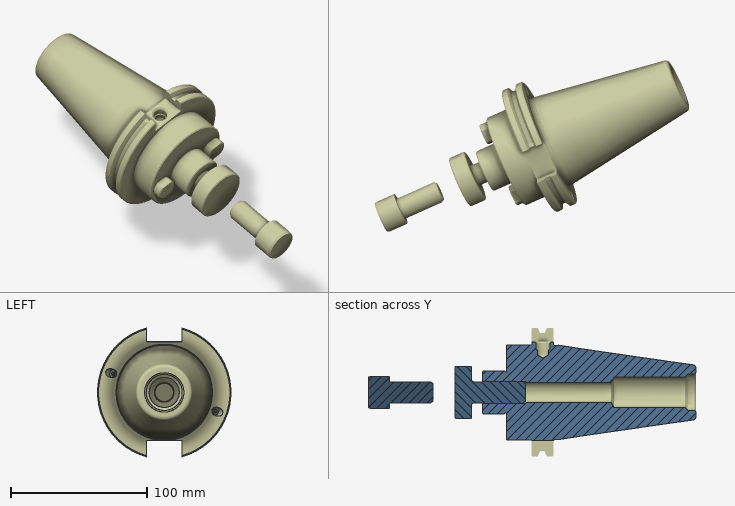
import cadquery as cq
import math

GAUGE_X = 101.2
FLANGE_START_X = 104.8
FLANGE_END_X = 121.0
FLANGE_MIDDLE_X = (FLANGE_START_X + FLANGE_END_X) / 2
HUB_END_X = 139.8
PILOT_END_X = 157.0
CLAMP_DISC_X = 164.8
CLAMP_END_X = 177.4
CAP_TIP_X = 193.3
CAP_HEAD_X = 225.0
CAP_END_X = 241.0

GAUGE_RADIUS = 35.0
TAPER_SLOPE = 7 / 48
TAPER_END_ROUND = 3.0
RELIEF_RADIUS = 34.7
FLANGE_ROOT_CHAMFER = 0.7
FLANGE_RADIUS = 98.0 / 2
FLANGE_CHAMFER = 0.7
HUB_RADIUS = 35.2
HUB_CHAMFER = 0.7
PILOT_RADIUS = 16.0
PILOT_CHAMFER = 0.7
PILOT_NECK_RADIUS = 15.2
PILOT_NECK_LENGTH = 0.5

GROOVE_FLOOR_RADIUS = 45.3
GROOVE_FLOOR_WIDTH = 3.4
GROOVE_FLANK_ANGLE = 25

SLOT_WIDTH = 25.8
TOP_SLOT_HEIGHT = 37.4
BOTTOM_SLOT_HEIGHT = 35.5

CHIP_HOLE_X = 112.5
CHIP_RIM_RADIUS = 12.3 / 2
CHIP_RADIUS = 10.1 / 2
CHIP_DEPTH = 6.0
CHIP_DRILL_RADIUS = 8.0 / 2
CHIP_DRILL_DEPTH = 9.6

BORE_RIM_RADIUS = 14.5
BORE_RADIUS = 13.3
BORE_DEPTH = 6.0
THREAD_RADIUS = 11.0
THREAD_END_X = 60.2
PASSAGE_RADIUS = 7.2
DRILL_HALF_ANGLE = 59

SCREW_RADIUS = 16.0 / 2
SCREW_TIP_RADIUS = 6.7
SCREW_TIP_LENGTH = 2.2

CLAMP_TIP_X = 125.3
CLAMP_FILLET = 1.2
CLAMP_DISC_RADIUS = 38.8 / 2
CLAMP_DISC_CHAMFER = 0.7

CAP_HEAD_RADIUS = 23.9 / 2
CAP_HEAD_CHAMFER = 1.7
CAP_HEAD_END_RADIUS = 11.3

KEY_RADIUS = 15.7 / 2
KEY_SEAT_RADIUS = 14.5 / 2
KEY_FLATS = 12.8
KEY_OFFSET = 25.5
KEY_PROJECTION = 6.5
KEY_SEAT_DEPTH = 9.6
KEY_NECK_LENGTH = 0.7
KEY_CHAMFER = 0.7

COOLANT_RADIUS = 6.3 / 2
COOLANT_PITCH_RADIUS = 41.7
COOLANT_ANGLE = 20
COOLANT_TILT = 37
COOLANT_DEPTH = 9.6
PLUG_RECESS = 3.0
PLUG_SOCKET = 3.1
PLUG_SOCKET_DEPTH = 2.5


def turned(outline):
    """Solid of revolution about X from (x, radius) points that start and end on the axis."""
    return cq.Workplane("XY").polyline(outline).close().revolve(360, (0, 0, 0), (1, 0, 0))


def taper_radius(x):
    return GAUGE_RADIUS - (GAUGE_X - x) * TAPER_SLOPE


def arbor_blank():
    taper = turned([(0, 0), (0, taper_radius(0)), (GAUGE_X, GAUGE_RADIUS), (GAUGE_X, 0)])
    taper = taper.faces("<X").edges().fillet(TAPER_END_ROUND)
    relief_step = GAUGE_RADIUS - RELIEF_RADIUS
    neck_step = PILOT_RADIUS - PILOT_NECK_RADIUS
    rest = turned([
        (GAUGE_X, 0),
        (GAUGE_X, GAUGE_RADIUS),
        (GAUGE_X + relief_step, RELIEF_RADIUS),
        (FLANGE_START_X - FLANGE_ROOT_CHAMFER, RELIEF_RADIUS),
        (FLANGE_START_X, RELIEF_RADIUS + FLANGE_ROOT_CHAMFER),
        (FLANGE_START_X, FLANGE_RADIUS - FLANGE_CHAMFER),
        (FLANGE_START_X + FLANGE_CHAMFER, FLANGE_RADIUS),
        (FLANGE_END_X - FLANGE_CHAMFER, FLANGE_RADIUS),
        (FLANGE_END_X, FLANGE_RADIUS - FLANGE_CHAMFER),
        (FLANGE_END_X, HUB_RADIUS),
        (HUB_END_X - HUB_CHAMFER, HUB_RADIUS),
        (HUB_END_X, HUB_RADIUS - HUB_CHAMFER),
        (HUB_END_X, PILOT_NECK_RADIUS),
        (HUB_END_X + PILOT_NECK_LENGTH, PILOT_NECK_RADIUS),
        (HUB_END_X + PILOT_NECK_LENGTH + neck_step, PILOT_RADIUS),
        (PILOT_END_X - PILOT_CHAMFER, PILOT_RADIUS),
        (PILOT_END_X, PILOT_RADIUS - PILOT_CHAMFER),
        (PILOT_END_X, 0),
    ])
    return taper.union(rest)


def gripper_groove():
    depth = FLANGE_RADIUS - GROOVE_FLOOR_RADIUS
    floor_half = GROOVE_FLOOR_WIDTH / 2
    top_half = floor_half + depth * math.tan(math.radians(GROOVE_FLANK_ANGLE))
    return (
        cq.Workplane("XY")
        .polyline([
            (FLANGE_MIDDLE_X - floor_half, GROOVE_FLOOR_RADIUS),
            (FLANGE_MIDDLE_X - top_half, FLANGE_RADIUS),
            (FLANGE_MIDDLE_X + top_half, FLANGE_RADIUS),
            (FLANGE_MIDDLE_X + floor_half, GROOVE_FLOOR_RADIUS),
        ])
        .close()
        .revolve(360, (0, 0, 0), (1, 0, 0))
    )


def drive_slot(height, side):
    """Notch across the flange; side is +1 for the top slot and -1 for the bottom one."""
    length = FLANGE_END_X - FLANGE_START_X
    depth = FLANGE_RADIUS - height
    centre = (FLANGE_MIDDLE_X, 0, side * (height + depth / 2))
    return cq.Workplane("XY").box(length, SLOT_WIDTH, depth).translate(centre)


def chip_hole():
    chamfer = CHIP_RIM_RADIUS - CHIP_RADIUS
    point = CHIP_DRILL_RADIUS / math.tan(math.radians(DRILL_HALF_ANGLE))
    return (
        cq.Workplane("XZ")
        .polyline([
            (0, 0),
            (CHIP_RIM_RADIUS, 0),
            (CHIP_RADIUS, -chamfer),
            (CHIP_RADIUS, -CHIP_DEPTH),
            (CHIP_DRILL_RADIUS, -CHIP_DEPTH),
            (CHIP_DRILL_RADIUS, -CHIP_DRILL_DEPTH),
            (0, -CHIP_DRILL_DEPTH - point),
        ])
        .close()
        .revolve(360, (0, 0, 0), (0, 1, 0))
        .translate((CHIP_HOLE_X, 0, TOP_SLOT_HEIGHT))
    )


def axial_bore():
    rim_chamfer = BORE_RIM_RADIUS - BORE_RADIUS
    shoulder = BORE_RADIUS - THREAD_RADIUS
    drill_point = (THREAD_RADIUS - PASSAGE_RADIUS) / math.tan(math.radians(DRILL_HALF_ANGLE))
    return turned([
        (0, 0),
        (0, BORE_RIM_RADIUS),
        (rim_chamfer, BORE_RADIUS),
        (BORE_DEPTH, BORE_RADIUS),
        (BORE_DEPTH + shoulder, THREAD_RADIUS),
        (THREAD_END_X, THREAD_RADIUS),
        (THREAD_END_X + drill_point, PASSAGE_RADIUS),
        (CLAMP_TIP_X, PASSAGE_RADIUS),
        (CLAMP_TIP_X, SCREW_RADIUS),
        (PILOT_END_X, SCREW_RADIUS),
        (PILOT_END_X, 0),
    ])


def key_disc(side, radius, start_x, length):
    """Cylinder along X on the centre of a drive key; side is the sign of its Y offset."""
    return (
        cq.Workplane("YZ", origin=(start_x, side * KEY_OFFSET, 0))
        .circle(radius)
        .extrude(length)
    )


def key_seat(side):
    return key_disc(side, KEY_SEAT_RADIUS, HUB_END_X - KEY_SEAT_DEPTH, KEY_SEAT_DEPTH)


def coolant_plane(side):
    """Plane on the flange face, its normal running down the slanted hole."""
    around = math.radians(COOLANT_ANGLE)
    tilt = math.radians(COOLANT_TILT)
    radial_y = side * math.cos(around)
    radial_z = side * math.sin(around)
    origin = (FLANGE_START_X, COOLANT_PITCH_RADIUS * radial_y, COOLANT_PITCH_RADIUS * radial_z)
    normal = (math.cos(tilt), -math.sin(tilt) * radial_y, -math.sin(tilt) * radial_z)
    return cq.Plane(origin=origin, xDir=(0, -radial_z, radial_y), normal=normal)


def coolant_hole(side):
    lead = 2 * COOLANT_RADIUS
    return (
        cq.Workplane(coolant_plane(side))
        .workplane(offset=-lead)
        .circle(COOLANT_RADIUS)
        .extrude(lead + COOLANT_DEPTH)
    )


def coolant_plug(side):
    seat = cq.Workplane(coolant_plane(side)).workplane(offset=PLUG_RECESS)
    plug = seat.circle(COOLANT_RADIUS).extrude(COOLANT_DEPTH - PLUG_RECESS)
    socket = seat.polygon(6, PLUG_SOCKET).extrude(PLUG_SOCKET_DEPTH)
    return plug.cut(socket)


def make_arbor():
    arbor = arbor_blank().cut(gripper_groove())
    arbor = arbor.cut(drive_slot(TOP_SLOT_HEIGHT, 1)).cut(drive_slot(BOTTOM_SLOT_HEIGHT, -1))
    arbor = arbor.cut(chip_hole()).cut(axial_bore())
    for side in (1, -1):
        arbor = arbor.cut(key_seat(side))
        arbor = arbor.cut(coolant_hole(side))
    return arbor


def make_drive_key(side):
    neck = key_disc(side, KEY_SEAT_RADIUS, HUB_END_X, KEY_NECK_LENGTH)
    head = key_disc(side, KEY_RADIUS, HUB_END_X + KEY_NECK_LENGTH, KEY_PROJECTION - KEY_NECK_LENGTH)
    head = head.faces(">X").edges().chamfer(KEY_CHAMFER)
    bar = (
        cq.Workplane("YZ", origin=(HUB_END_X, side * KEY_OFFSET, 0))
        .rect(2 * KEY_RADIUS, KEY_FLATS)
        .extrude(KEY_PROJECTION)
    )
    return neck.union(head).intersect(bar).union(key_seat(side))


def make_clamping_screw():
    screw = turned([
        (CLAMP_TIP_X, 0),
        (CLAMP_TIP_X, SCREW_TIP_RADIUS),
        (CLAMP_TIP_X + SCREW_TIP_LENGTH, SCREW_RADIUS),
        (CLAMP_DISC_X, SCREW_RADIUS),
        (CLAMP_DISC_X, CLAMP_DISC_RADIUS - CLAMP_DISC_CHAMFER),
        (CLAMP_DISC_X + CLAMP_DISC_CHAMFER, CLAMP_DISC_RADIUS),
        (CLAMP_END_X - CLAMP_DISC_CHAMFER, CLAMP_DISC_RADIUS),
        (CLAMP_END_X, CLAMP_DISC_RADIUS - CLAMP_DISC_CHAMFER),
        (CLAMP_END_X, 0),
    ])
    shank_circles = screw.edges(cq.selectors.RadiusNthSelector(1))
    return shank_circles.edges(">X").fillet(CLAMP_FILLET)


def make_cap_screw():
    return turned([
        (CAP_TIP_X, 0),
        (CAP_TIP_X, SCREW_TIP_RADIUS),
        (CAP_TIP_X + SCREW_TIP_LENGTH, SCREW_RADIUS),
        (CAP_HEAD_X, SCREW_RADIUS),
        (CAP_HEAD_X, CAP_HEAD_RADIUS),
        (CAP_END_X - CAP_HEAD_CHAMFER, CAP_HEAD_RADIUS),
        (CAP_END_X, CAP_HEAD_END_RADIUS),
        (CAP_END_X, 0),
    ])


arbor = make_arbor()
clamping_screw = make_clamping_screw()
cap_screw = make_cap_screw()
drive_keys = [make_drive_key(side) for side in (1, -1)]
coolant_plugs = [coolant_plug(side) for side in (1, -1)]

result = cq.Compound.makeCompound([
    arbor.val(),
    clamping_screw.val(),
    cap_screw.val(),
    *[key.val() for key in drive_keys],
    *[plug.val() for plug in coolant_plugs],
])